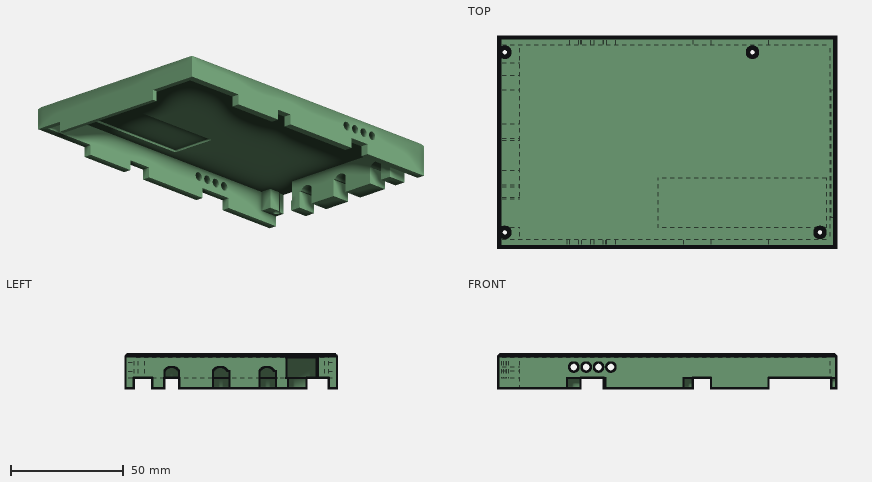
import cadquery as cq

length = 150.28
width = 94.03
height = 15.2

plate_thickness = 1.5
top_chamfer = 1.0
lug_height = 4.7
side_wall = 3.8
right_wall = 2.8
left_wall = 9.5
plate_bottom = height - plate_thickness

front_lugs = [(0, 30.7), (47.6, 82.3), (94.5, 120.2)]
back_lugs = [(0, 36.6), (46.9, 86.5), (94.5, 120.2)]

post_edge = 22.5
post_foot = 0.6
left_lugs = [(post_edge - post_foot, 27.1), (34.4, 47.8), (55.1, 70.2), (76.7, 82.2)]
right_lug = (13.5, 70.2)
right_lug_thickness = 2.3

arch_spring = 7.8
arch_crown = 9.6
arch_span = 6.4

opening_edge = 8.4
jamb_step = 0.8
jamb_thickness = 3.8

side_hole_diameter = 4.0
side_hole_first = 33.6
side_hole_pitch = 5.5
side_hole_count = 4
side_hole_level = 9.5

screw_diameter = 3.0
screw_head_diameter = 5.0
screw_edge = 7.0
screw_left = 3.0
screw_middle = 113.0
screw_right = length - 7.3
screw_head_angle = 90
screw_positions = [
    (screw_left, screw_edge),
    (screw_left, width - screw_edge),
    (screw_middle, width - screw_edge),
    (screw_right, screw_edge),
]

recess_start = 71.0
recess_end = 146.0
recess_front = 9.2
recess_back = 31.2
recess_skin = 0.5


def box(x_range, y_range, z_range):
    """Axis-aligned block from three (start, end) ranges."""
    sizes = [end - start for start, end in (x_range, y_range, z_range)]
    corner = (x_range[0], y_range[0], z_range[0])
    return cq.Workplane("XY").box(*sizes, centered=False).translate(corner)


def shell():
    """Plate with its rim of walls, above the level of the lugs."""
    body = box((0, length), (0, width), (lug_height, height))
    body = body.faces(">Z").edges().chamfer(top_chamfer)
    cavity = box(
        (left_wall, length - right_wall),
        (side_wall, width - side_wall),
        (lug_height, plate_bottom),
    )
    return body.cut(cavity)


def add_lugs(body):
    z_range = (0, lug_height)
    for lug in front_lugs:
        body = body.union(box(lug, (0, side_wall), z_range))
    for lug in back_lugs:
        body = body.union(box(lug, (width - side_wall, width), z_range))
    for lug in left_lugs:
        body = body.union(box((0, left_wall), lug, z_range))
    return body.union(box((length - right_lug_thickness, length), right_lug, z_range))


def arch_cutter(start, end):
    """Arched tunnel through the left wall; the arc starts at the +Y side."""
    arc_start = end - arch_span
    outline = (
        cq.Workplane("YZ")
        .moveTo(start, lug_height)
        .lineTo(end, lug_height)
        .lineTo(end, arch_spring)
        .threePointArc((end - arch_span / 2, arch_crown), (arc_start, arch_spring))
        .lineTo(start, arch_spring)
    )
    return outline.close().extrude(left_wall)


def cut_arches(body):
    for lower, upper in zip(left_lugs, left_lugs[1:]):
        body = body.cut(arch_cutter(lower[1], upper[0]))
    return body


def cut_end_opening(body):
    z_range = (lug_height, plate_bottom)
    body = body.cut(box((0, jamb_thickness), (opening_edge, post_edge), z_range))
    inner_start = opening_edge + jamb_step
    return body.cut(box((jamb_thickness, left_wall), (inner_start, post_edge), z_range))


def cut_side_holes(body):
    columns = [side_hole_first + i * side_hole_pitch for i in range(side_hole_count)]
    centers = [(column, side_hole_level) for column in columns]
    holes = (
        cq.Workplane("XZ")
        .pushPoints(centers)
        .circle(side_hole_diameter / 2)
        .extrude(-width)
    )
    return body.cut(holes)


def cut_screw_holes(body):
    return (
        body.faces(">Z")
        .workplane(origin=(0, 0, height))
        .pushPoints(screw_positions)
        .cskHole(screw_diameter, screw_head_diameter, screw_head_angle)
    )


def cut_recess(body):
    recess = box(
        (recess_start, recess_end),
        (recess_front, recess_back),
        (plate_bottom, height - recess_skin),
    )
    return body.cut(recess)


result = shell()
result = add_lugs(result)
result = cut_arches(result)
result = cut_end_opening(result)
result = cut_side_holes(result)
result = cut_recess(result)
result = cut_screw_holes(result)